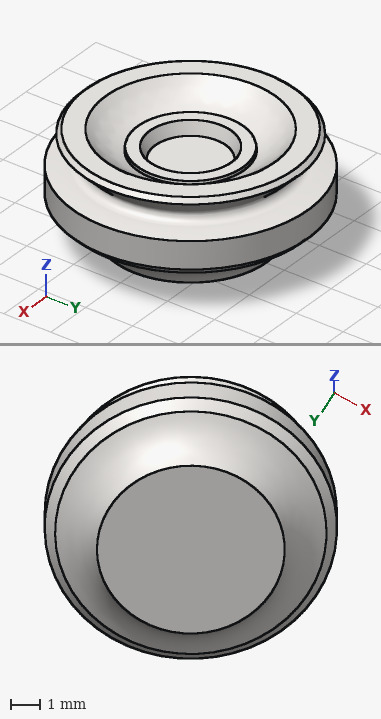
import cadquery as cq
import math

height = 4.2
collar_radius = 5.0
collar_bottom_z = 1.64
collar_edge_z = 2.78

foot_radius = 3.21
flare_radius = 4.64
flare_top_z = 1.29
flare_arc_radius = 2.6

collar_crown_radius = 4.15
collar_crown_z = 2.84
groove_radius = 3.81
groove_z = 3.08
groove_upper_radius = 3.87
groove_upper_z = 3.28

rim_radius = 4.6
rim_edge_z = 4.01
rim_top_radius = 4.42

bowl_radius = 3.6
bowl_bottom_z = 3.37
bowl_arc_radius = 3.3
ring_base_radius = 2.27
ring_top_radius = 2.24
ring_top_z = 3.49
pocket_radius = 1.73
pocket_floor_radius = 1.5
pocket_floor_z = 2.99


def arc_midpoint(start, end, arc_radius):
    """Middle of the minor arc that bulges to the right of the chord from start to end."""
    dr = end[0] - start[0]
    dz = end[1] - start[1]
    chord = math.hypot(dr, dz)
    sagitta = arc_radius - math.sqrt(arc_radius**2 - (chord / 2) ** 2)
    mid_r = (start[0] + end[0]) / 2 + sagitta * dz / chord
    mid_z = (start[1] + end[1]) / 2 - sagitta * dr / chord
    return mid_r, mid_z


foot_edge = (foot_radius, 0)
flare_edge = (flare_radius, flare_top_z)
flare_mid = arc_midpoint(flare_edge, foot_edge, flare_arc_radius)

crown_edge = (collar_crown_radius, collar_crown_z)
crown_drop = collar_crown_z - collar_edge_z
crown_width = collar_radius - collar_crown_radius
crown_arc_radius = (crown_width**2 + crown_drop**2) / (2 * crown_drop)
collar_edge = (collar_radius, collar_edge_z)
crown_mid = arc_midpoint(collar_edge, crown_edge, crown_arc_radius)

groove_bottom = (groove_radius, groove_z)
groove_upper = (groove_upper_radius, groove_upper_z)

bowl_top_edge = (bowl_radius, height)
bowl_bottom_edge = (ring_base_radius, bowl_bottom_z)
bowl_mid = arc_midpoint(bowl_bottom_edge, bowl_top_edge, bowl_arc_radius)

profile = (
    cq.Workplane("XZ")
    .moveTo(0, 0)
    .lineTo(*foot_edge)
    .threePointArc(flare_mid, flare_edge)
    .lineTo(collar_radius, collar_bottom_z)
    .lineTo(*collar_edge)
    .threePointArc(crown_mid, crown_edge)
    .tangentArcPoint(groove_bottom, relative=False)
    .tangentArcPoint(groove_upper, relative=False)
    .lineTo(rim_radius, rim_edge_z)
    .lineTo(rim_top_radius, height)
    .lineTo(*bowl_top_edge)
    .threePointArc(bowl_mid, bowl_bottom_edge)
    .lineTo(ring_top_radius, ring_top_z)
    .lineTo(pocket_radius, ring_top_z)
    .lineTo(pocket_floor_radius, pocket_floor_z)
    .lineTo(0, pocket_floor_z)
    .close()
)

result = profile.revolve(360, (0, 0, 0), (0, 1, 0))